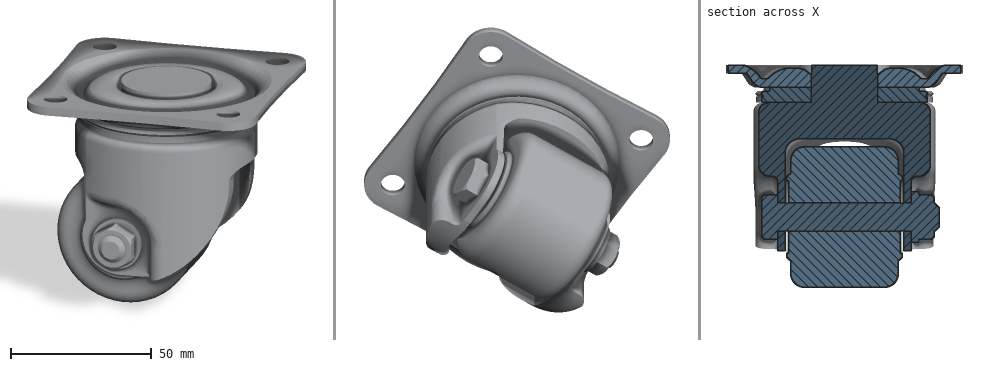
import cadquery as cq
import math


PLATE_SIDE = 84.0
PLATE_THICKNESS = 3.1
EDGE_HOLLOW = 0.75
HOLE_OFFSET = 31.8
HOLE_DIAMETER = 8.5
CORNER_RADIUS = PLATE_SIDE / 2 - HOLE_OFFSET
DISH_BOTTOM = -8.15
DISH_RIM_RADIUS = 37.3
DISH_WALL_MIDDLE = (35.4, -1.0)
DISH_WALL_BREAK = (33.1, -2.8)
VALLEY_FLOOR = -4.95
VALLEY_OUTER_RADIUS = 31.4
VALLEY_INNER_RADIUS = 29.6
DOME_SHOULDER_START = (27.2, -2.8)
DOME_SHOULDER_MIDDLE = (24.8, -1.5)
DOME_TOP = -1.1
DOME_OUTER_RADIUS = 21.8
DOME_INNER_RADIUS = 20.0
COUNTERSINK_RIM = (18.1, -1.5)
COUNTERSINK_BOTTOM = -3.5
UNDERSIDE_CURVE_MIDDLE = (33.35, -7.3)
UNDERSIDE_CURVE_END = (34.8, -5.7)
UNDERSIDE_RADIUS = 36.45

NECK_RADIUS = 28.8
SHOULDER_RADIUS = 30.8
SEAL_RADIUS = 31.75
RACE_RADIUS = 31.4
SHOULDER_TOP = -9.3
SEAL_MIDDLE = -10.25
RACE_TOP = -11.25

FORK_TOP = -13.4
KINGPIN_RADIUS = 16.05
CROWN_RADIUS = 32.3
CROWN_FILLET = 3.4
LEG_OUTER_Y = 23.7
LEG_INNER_Y = 21.0
CROWN_CORNER_X = -23.0
SKIRT_BOTTOM = -26.4
REAR_NOTCH_RADIUS = 4.6
FRONT_NOTCH_RADIUS = 5.0
FRONT_NOTCH_X = -23.9
LEG_ARC_RADIUS = 13.7
LEG_ARC_X = -10.5
LEG_ARC_Z = -52.4
LEG_ARC_START_Z = -47.1
LEG_BOTTOM = LEG_ARC_Z - LEG_ARC_RADIUS
SWEEP_MIDDLE = (19.5, -54.6)
SLOT_FILLET = 5.0
SLOT_REAR_RADIUS = 29.65

RECESS_RADIUS = 13.1
RECESS_CENTRE_Z = -52.75
RECESS_FLARE_X = -13.4
RECESS_FLARE_RADIUS = 15.1
RECESS_FLOOR_FILLET = 2.1
RECESS_RIM_FILLET = 4.2

AXLE_X = -11.0
WHEEL_RADIUS = 25.0
OVERALL_HEIGHT = 79.0
AXLE_Z = WHEEL_RADIUS - OVERALL_HEIGHT
WHEEL_HALF_WIDTH = 19.15
TREAD_FILLET = 5.0
HUB_RADIUS = 15.4
HUB_HALF_WIDTH = 20.5
HUB_CHAMFER = 1.0
HUB_RECESS_RADIUS = 12.85
HUB_RECESS_DEPTH = 0.7

BOLT_RADIUS = 5.0
HEX_ACROSS_FLATS = 13.95
HEAD_HEIGHT = 5.8
WASHER_RADIUS = 9.0
WASHER_THICKNESS = 2.7
NUT_HEIGHT = 5.55
TIP_LENGTH = 1.85
TIP_CHAMFER = 1.7
HEX_CHAMFER = 1.1


def revolved(profile):
    """Turn a closed radius-height profile about the swivel axis."""
    return profile.close().revolve(360, (0, 0, 0), (0, 1, 0))


def axle_cylinder(radius, y_from, y_to):
    """Cylinder on the wheel axis."""
    return (
        cq.Workplane("XZ", origin=(AXLE_X, y_from, AXLE_Z))
        .circle(radius)
        .extrude(y_from - y_to)
    )


def plate_outline():
    """Square with rounded corners and slightly hollow edges."""
    half = PLATE_SIDE / 2
    corner_mid = HOLE_OFFSET + CORNER_RADIUS * math.sqrt(0.5)
    hollow = half - EDGE_HOLLOW
    return (
        cq.Workplane("XY")
        .moveTo(half, -HOLE_OFFSET)
        .threePointArc((hollow, 0), (half, HOLE_OFFSET))
        .threePointArc((corner_mid, corner_mid), (HOLE_OFFSET, half))
        .threePointArc((0, hollow), (-HOLE_OFFSET, half))
        .threePointArc((-corner_mid, corner_mid), (-half, HOLE_OFFSET))
        .threePointArc((-hollow, 0), (-half, -HOLE_OFFSET))
        .threePointArc((-corner_mid, -corner_mid), (-HOLE_OFFSET, -half))
        .threePointArc((0, -hollow), (HOLE_OFFSET, -half))
        .threePointArc((corner_mid, -corner_mid), (half, -HOLE_OFFSET))
        .close()
    )


def make_plate():
    """Mounting plate with a round dish, a raised dome in it and a bore for the kingpin."""
    holes = (
        cq.Workplane("XY")
        .rect(2 * HOLE_OFFSET, 2 * HOLE_OFFSET, forConstruction=True)
        .vertices()
        .circle(HOLE_DIAMETER / 2)
        .extrude(-PLATE_THICKNESS)
    )
    opening = cq.Workplane("XY").circle(DISH_RIM_RADIUS).extrude(-PLATE_THICKNESS)
    flange = plate_outline().extrude(-PLATE_THICKNESS).cut(holes).cut(opening)
    dish = revolved(
        cq.Workplane("XZ")
        .moveTo(DISH_RIM_RADIUS, 0)
        .threePointArc(DISH_WALL_MIDDLE, DISH_WALL_BREAK)
        .lineTo(VALLEY_OUTER_RADIUS, VALLEY_FLOOR)
        .lineTo(VALLEY_INNER_RADIUS, VALLEY_FLOOR)
        .lineTo(*DOME_SHOULDER_START)
        .threePointArc(DOME_SHOULDER_MIDDLE, (DOME_OUTER_RADIUS, DOME_TOP))
        .lineTo(DOME_INNER_RADIUS, DOME_TOP)
        .lineTo(*COUNTERSINK_RIM)
        .lineTo(KINGPIN_RADIUS, COUNTERSINK_BOTTOM)
        .lineTo(KINGPIN_RADIUS, DISH_BOTTOM)
        .lineTo(VALLEY_OUTER_RADIUS, DISH_BOTTOM)
        .threePointArc(UNDERSIDE_CURVE_MIDDLE, UNDERSIDE_CURVE_END)
        .lineTo(UNDERSIDE_RADIUS, -PLATE_THICKNESS)
        .lineTo(DISH_RIM_RADIUS, -PLATE_THICKNESS)
    )
    return flange.union(dish)


def make_bearing_ring():
    """Grooved ring between the plate and the fork crown."""
    return revolved(
        cq.Workplane("XZ")
        .moveTo(KINGPIN_RADIUS, DISH_BOTTOM)
        .lineTo(NECK_RADIUS, DISH_BOTTOM)
        .lineTo(NECK_RADIUS, SHOULDER_TOP)
        .lineTo(SHOULDER_RADIUS, SHOULDER_TOP)
        .lineTo(SEAL_RADIUS, SEAL_MIDDLE)
        .lineTo(SHOULDER_RADIUS, RACE_TOP)
        .lineTo(RACE_RADIUS, RACE_TOP)
        .lineTo(RACE_RADIUS, FORK_TOP)
        .lineTo(KINGPIN_RADIUS, FORK_TOP)
    )


def crown_disc(centre_x, centre_y, radius):
    """Full-height round block with its top edge rounded."""
    return (
        cq.Workplane("XY", origin=(centre_x, centre_y, FORK_TOP))
        .circle(radius)
        .extrude(LEG_BOTTOM - FORK_TOP)
        .faces(">Z")
        .edges()
        .fillet(CROWN_FILLET)
    )


def crown_block():
    """Full-height fork block: a half circle at the rear, three flatter curves at the front."""
    side_drop = CROWN_RADIUS - LEG_OUTER_Y
    side_radius = (CROWN_CORNER_X**2 + side_drop**2) / (2 * side_drop)
    front_drop = CROWN_RADIUS + CROWN_CORNER_X
    front_radius = (LEG_OUTER_Y**2 + front_drop**2) / (2 * front_drop)
    half_space = (
        cq.Workplane("XY")
        .box(PLATE_SIDE, 2 * PLATE_SIDE, 2 * PLATE_SIDE)
        .translate((-PLATE_SIDE / 2, 0, 0))
    )
    rear = crown_disc(0, 0, CROWN_RADIUS).cut(half_space)
    front = crown_disc(front_radius - CROWN_RADIUS, 0, front_radius).intersect(half_space)
    for side in (-1, 1):
        front = front.intersect(crown_disc(0, side * (CROWN_RADIUS - side_radius), side_radius))
    return rear.union(front)


def fork_side_profile():
    """Side outline of the fork: skirt, notches and the swept-back legs."""
    diagonal = math.sqrt(0.5)
    rear_notch_z = SKIRT_BOTTOM - REAR_NOTCH_RADIUS
    front_notch_z = SKIRT_BOTTOM - FRONT_NOTCH_RADIUS
    front_notch_centre = FRONT_NOTCH_X - FRONT_NOTCH_RADIUS
    leg_start_x = LEG_ARC_X - math.sqrt(LEG_ARC_RADIUS**2 - (LEG_ARC_START_Z - LEG_ARC_Z) ** 2)
    return (
        cq.Workplane("XZ")
        .moveTo(-CROWN_RADIUS, FORK_TOP)
        .lineTo(CROWN_RADIUS, FORK_TOP)
        .lineTo(CROWN_RADIUS, SKIRT_BOTTOM)
        .threePointArc(
            (CROWN_RADIUS - REAR_NOTCH_RADIUS * diagonal, rear_notch_z + REAR_NOTCH_RADIUS * diagonal),
            (CROWN_RADIUS - REAR_NOTCH_RADIUS, rear_notch_z),
        )
        .threePointArc(SWEEP_MIDDLE, (LEG_ARC_X, LEG_BOTTOM))
        .threePointArc(
            (LEG_ARC_X - LEG_ARC_RADIUS * diagonal, LEG_ARC_Z - LEG_ARC_RADIUS * diagonal),
            (leg_start_x, LEG_ARC_START_Z),
        )
        .lineTo(FRONT_NOTCH_X, front_notch_z)
        .threePointArc(
            (front_notch_centre + FRONT_NOTCH_RADIUS * diagonal,
             front_notch_z + FRONT_NOTCH_RADIUS * diagonal),
            (front_notch_centre, SKIRT_BOTTOM),
        )
        .lineTo(-CROWN_RADIUS, SKIRT_BOTTOM)
        .close()
    )


def wheel_slot():
    """Space for the wheel: flat sides, rounded ceiling edges and a round rear wall."""
    depth = SKIRT_BOTTOM - LEG_BOTTOM
    block = (
        cq.Workplane("XY", origin=(0, 0, SKIRT_BOTTOM))
        .rect(2 * PLATE_SIDE, 2 * LEG_INNER_Y)
        .extrude(-depth)
        .edges("|X and >Z")
        .fillet(SLOT_FILLET)
    )
    reach = (
        cq.Workplane("XY", origin=(0, 0, SKIRT_BOTTOM))
        .circle(SLOT_REAR_RADIUS)
        .extrude(-depth)
        .union(
            cq.Workplane("XY", origin=(0, 0, SKIRT_BOTTOM))
            .rect(PLATE_SIDE, PLATE_SIDE)
            .extrude(-depth)
            .translate((-PLATE_SIDE / 2, 0, 0))
        )
    )
    return block.intersect(reach)


def leg_recess(side):
    """Cutter that flattens the outside of one leg around the axle end, with a rounded floor edge."""
    right = AXLE_X + RECESS_RADIUS
    top = RECESS_CENTRE_Z + RECESS_RADIUS
    diagonal = RECESS_RADIUS * math.sqrt(0.5)
    flare_x = RECESS_FLARE_X - RECESS_FLARE_RADIUS
    flare_top = top + RECESS_FLARE_RADIUS
    flare_diagonal = RECESS_FLARE_RADIUS * math.sqrt(0.5)
    return (
        cq.Workplane("XZ", origin=(0, side * LEG_OUTER_Y, 0))
        .moveTo(flare_x, flare_top)
        .threePointArc(
            (RECESS_FLARE_X - flare_diagonal, flare_top - flare_diagonal),
            (RECESS_FLARE_X, top),
        )
        .lineTo(AXLE_X, top)
        .threePointArc((AXLE_X + diagonal, RECESS_CENTRE_Z + diagonal), (right, RECESS_CENTRE_Z))
        .lineTo(right, -PLATE_SIDE)
        .lineTo(flare_x, -PLATE_SIDE)
        .close()
        .extrude(-side * PLATE_SIDE / 2)
        .faces("<Y" if side > 0 else ">Y")
        .edges("not <X")
        .fillet(RECESS_FLOOR_FILLET)
    )


def leg_tabs():
    """Flat lower ends of the legs, which reach past the front curves of the crown."""
    leg_thickness = LEG_OUTER_Y - LEG_INNER_Y
    front_half = (
        cq.Workplane("XY", origin=(-PLATE_SIDE / 2, 0, LEG_ARC_START_Z))
        .rect(PLATE_SIDE, PLATE_SIDE)
        .extrude(LEG_BOTTOM - LEG_ARC_START_Z)
    )
    tab = (
        fork_side_profile()
        .extrude(leg_thickness)
        .translate((0, -LEG_INNER_Y, 0))
        .intersect(front_half)
    )
    return tab.union(tab.mirror("XZ"))


def make_fork():
    """Crown block with two legs, recessed outside, a slot for the wheel and a kingpin on top."""
    fork_body = crown_block()
    rim_middle_z = (RECESS_CENTRE_Z + LEG_BOTTOM) / 2
    for side in (-1, 1):
        rim_edge = (AXLE_X + RECESS_RADIUS, side * CROWN_RADIUS, rim_middle_z)
        fork_body = (
            fork_body.cut(leg_recess(side))
            .edges(cq.selectors.NearestToPointSelector(rim_edge))
            .fillet(RECESS_RIM_FILLET)
        )
    sides = fork_side_profile().extrude(CROWN_RADIUS * 2, both=True)
    bore = axle_cylinder(BOLT_RADIUS, -CROWN_RADIUS, CROWN_RADIUS)
    kingpin = cq.Workplane("XY", origin=(0, 0, FORK_TOP)).circle(KINGPIN_RADIUS).extrude(-FORK_TOP)
    legs = fork_body.intersect(sides).cut(wheel_slot()).union(leg_tabs())
    return legs.cut(bore).union(kingpin)


def make_wheel():
    """Roller with rounded shoulders and a raised, shallowly recessed hub on both sides."""
    tread = (
        axle_cylinder(WHEEL_RADIUS, -WHEEL_HALF_WIDTH, WHEEL_HALF_WIDTH)
        .faces("<Y or >Y")
        .edges()
        .fillet(TREAD_FILLET)
    )
    hub = (
        axle_cylinder(HUB_RADIUS, -HUB_HALF_WIDTH, HUB_HALF_WIDTH)
        .faces("<Y or >Y")
        .edges()
        .chamfer(HUB_CHAMFER)
    )
    bore = axle_cylinder(BOLT_RADIUS, -HUB_HALF_WIDTH, HUB_HALF_WIDTH)
    wheel_body = tread.union(hub).cut(bore)
    for side in (-1, 1):
        hub_face = side * HUB_HALF_WIDTH
        recess_floor = side * (HUB_HALF_WIDTH - HUB_RECESS_DEPTH)
        wheel_body = wheel_body.cut(axle_cylinder(HUB_RECESS_RADIUS, recess_floor, hub_face))
    return wheel_body


def hexagon(y_inner, y_outer):
    """Hexagon on the wheel axis with its outer corners chamfered."""
    corner_diameter = HEX_ACROSS_FLATS / math.cos(math.pi / 6)
    prism = (
        cq.Workplane("XZ", origin=(AXLE_X, y_inner, AXLE_Z))
        .transformed(rotate=(0, 0, 90))
        .polygon(6, corner_diameter)
        .extrude(y_inner - y_outer)
    )
    outer_face = "<Y" if y_outer < y_inner else ">Y"
    envelope = (
        axle_cylinder(corner_diameter / 2, y_inner, y_outer)
        .faces(outer_face)
        .edges()
        .chamfer(HEX_CHAMFER)
    )
    return prism.intersect(envelope)


def make_axle():
    """Bolt with its head on the +Y leg, washer and nut on the -Y leg."""
    nut_start = -LEG_OUTER_Y - WASHER_THICKNESS
    nut_end = nut_start - NUT_HEIGHT
    shank = (
        axle_cylinder(BOLT_RADIUS, LEG_OUTER_Y, nut_end - TIP_LENGTH)
        .faces("<Y")
        .edges()
        .chamfer(TIP_CHAMFER)
    )
    head = hexagon(LEG_OUTER_Y, LEG_OUTER_Y + HEAD_HEIGHT)
    washer = axle_cylinder(WASHER_RADIUS, -LEG_OUTER_Y, nut_start)
    nut = hexagon(nut_start, nut_end)
    return shank.union(head).union(washer).union(nut)


plate = make_plate()
bearing_ring = make_bearing_ring()
fork = make_fork()
wheel = make_wheel()
axle = make_axle()

bodies = [plate, bearing_ring, fork, wheel, axle]
result = cq.Compound.makeCompound([body.solids().val() for body in bodies])